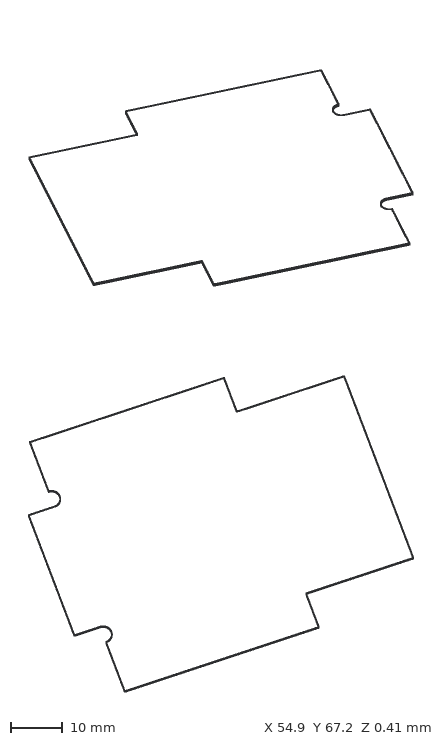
import cadquery as cq

length = 67.2
body_width = 54.9
thickness = 0.41

lower_width = 40.0
lower_length = 22.0
upper_tab_width = 26.45
upper_tab_length = 5.3

notch_radius = 1.7

body_length = length - lower_length - upper_tab_length
body_bottom = lower_length - length / 2
body_top = body_bottom + body_length
notch_center_x = upper_tab_width / 2 + notch_radius


def plate(width, height, bottom):
    """Rectangular sheet centred on X, with its lower edge at the given Y."""
    return (
        cq.Workplane("XY")
        .center(0, bottom + height / 2)
        .rect(width, height)
        .extrude(thickness)
    )


body = plate(body_width, body_length, body_bottom)
lower_flap = plate(lower_width, lower_length, -length / 2)
upper_tab = plate(upper_tab_width, upper_tab_length, body_top)
sheet = body.union(lower_flap).union(upper_tab)

notches = (
    cq.Workplane("XY")
    .pushPoints([(side * notch_center_x, body_top) for side in (-1, 1)])
    .circle(notch_radius)
    .extrude(thickness)
)

result = sheet.cut(notches)